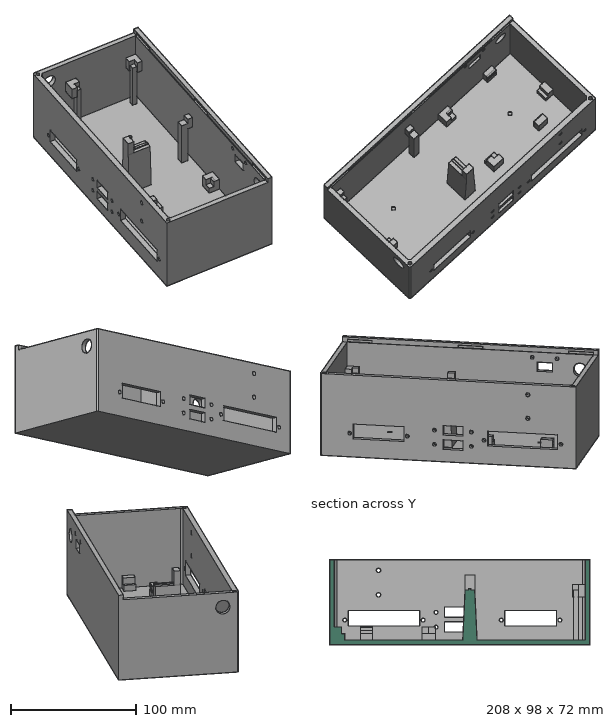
import cadquery as cq
length = 208.0
width = 98.0
rim_height = 68.0
lip_height = 4.0
lip_thickness = 4.0

side_wall = 4.0
front_wall = 4.5
back_wall = 4.5
floor = 4.0
inner_back = width - back_wall
inner_right = length - side_wall
inner_corner_chamfer = 1.9
outer_corner_chamfer = 1.0

latch_length = 20.0
latch_height = 2.0
latch_depth = 1.0
latch_end_gap = 4.0

lid_screw_diameter = 3.0
lid_screw_inset = 3.0
lid_screw_depth = 10.5
panel_screw_diameter = 3.0
indicator_diameter = 3.3
floor_hole_diameter = 3.3
floor_hole_depth = 2.0
side_hole_diameter = 11.5
back_hole_diameter = 11.0

wide_connectors = ((47.5, 41.2, 46.8), (164.5, 56.8, 62.6))
wide_bottom = 15.2
wide_height = 12.3
wide_screw_z = 19.8

small_x = 108.0
small_bottoms = (10.5, 22.3)
small_length = 16.2
small_height = 8.0
small_screw_pitch = 30.0
small_screw_rise = 3.7

indicator_x = 169.0
indicator_heights = (40.0, 59.5)

rear_x = 164.5
rear_bottom = 52.2
rear_top = 59.7
rear_length = 12.7
rear_screw_pitch = 20.2
rear_screw_z = 63.5
back_hole_x = 193.5
back_hole_z = 55.1

side_hole_y = 13.0
side_hole_z = 56.0
floor_hole_centers = ((44.3, 63.9), (167.9, 56.8))

raised_left = 9.2
raised_front = 33.0
raised_back = 89.0
raised_seat = 43.9
bracket_bottom = 38.0
bracket_top = 48.3
bracket_reach = 4.8
column_side = 4.0
middle_column_x = 86.5
middle_column_side = 5.6

pedestal_center = 95.9
pedestal_foot_width = 11.6
pedestal_top_width = 8.0
pedestal_front = 29.0
pedestal_back = 49.3
stop_depth = 5.2
stop_top = 56.0
rib_offset = 0.2
rib_width = 1.9
rib_height = 1.0

low_left = 129.0
low_front = 35.2
low_back = 88.2
low_seat = 9.0
holder_top = 14.4
seat_side = 10.6
seat_left = 123.5
seat_front_y = 30.0
seat_arm_end = 38.3
seat_back_y = 83.8
guide_width = 1.5
guide_drop = 0.5
clip_width = 9.8
clip_left = 173.7
clip_slot_height = 2.5
clip_slot_depth = 1.0
clip_front_y = 29.7
clip_back_y = 35.8
clip_lead_in = 0.6
end_front = 44.3
end_ledge_left = 195.7
end_stop_left = 198.5


def box(x0, x1, y0, y1, z0, z1):
    """Box given by its limits along each axis."""
    return cq.Workplane("XY").box(x1 - x0, y1 - y0, z1 - z0, centered=False).translate((x0, y0, z0))


def hole_y(x, z, diameter, y0, depth):
    """Cylinder running along +Y from y0."""
    return cq.Workplane(cq.Solid.makeCylinder(diameter / 2, depth, cq.Vector(x, y0, z), cq.Vector(0, 1, 0)))


def hole_z(x, y, diameter, top, depth):
    """Cylinder running down from top."""
    return cq.Workplane(cq.Solid.makeCylinder(diameter / 2, depth, cq.Vector(x, y, top), cq.Vector(0, 0, -1)))


def make_shell():
    """Open box with a lip along the back, latch recesses and lid screw holes."""
    body = box(0, length, 0, width, 0, rim_height)
    body = body.edges("|Z and <X and <Y").chamfer(outer_corner_chamfer)
    cavity = box(side_wall, inner_right, front_wall, inner_back, floor, rim_height)
    cavity = cavity.edges("|Z and <Y").chamfer(inner_corner_chamfer)
    lip_front = width - lip_thickness
    lip = box(0, length, lip_front, width, rim_height, rim_height + lip_height)
    shell = body.cut(cavity).union(lip)
    last_latch = length - latch_end_gap - latch_length
    for x in (latch_end_gap, (latch_end_gap + last_latch) / 2, last_latch):
        latch_back = lip_front + latch_depth
        latch = box(x, x + latch_length, lip_front, latch_back, rim_height, rim_height + latch_height)
        shell = shell.cut(latch)
    for x in (lid_screw_inset, length - lid_screw_inset):
        shell = shell.cut(hole_z(x, lid_screw_inset, lid_screw_diameter, rim_height, lid_screw_depth))
    return shell


def panel_cutout(center_x, z0, z1, opening, screw_pitch, screw_z, y0, depth):
    """Rectangular connector opening with a screw hole on each side."""
    cutout = box(center_x - opening / 2, center_x + opening / 2, y0, y0 + depth, z0, z1)
    for side in (-1, 1):
        screw_x = center_x + side * screw_pitch / 2
        cutout = cutout.union(hole_y(screw_x, screw_z, panel_screw_diameter, y0, depth))
    return cutout


def cut_front_openings(shell):
    for center_x, opening, pitch in wide_connectors:
        cutout = panel_cutout(
            center_x, wide_bottom, wide_bottom + wide_height, opening, pitch, wide_screw_z, 0, front_wall
        )
        shell = shell.cut(cutout)
    for bottom in small_bottoms:
        screw_z = bottom + small_screw_rise
        cutout = panel_cutout(
            small_x, bottom, bottom + small_height, small_length, small_screw_pitch, screw_z, 0, front_wall
        )
        shell = shell.cut(cutout)
    for z in indicator_heights:
        shell = shell.cut(hole_y(indicator_x, z, indicator_diameter, 0, front_wall))
    return shell


def cut_other_openings(shell):
    back_cutout = panel_cutout(
        rear_x, rear_bottom, rear_top, rear_length, rear_screw_pitch, rear_screw_z, inner_back, back_wall
    )
    shell = shell.cut(back_cutout)
    shell = shell.cut(hole_y(back_hole_x, back_hole_z, back_hole_diameter, inner_back, back_wall))
    side_start = cq.Vector(0, side_hole_y, side_hole_z)
    side_hole = cq.Solid.makeCylinder(side_hole_diameter / 2, side_wall, side_start, cq.Vector(1, 0, 0))
    shell = shell.cut(cq.Workplane(side_hole))
    for x, y in floor_hole_centers:
        shell = shell.cut(hole_z(x, y, floor_hole_diameter, floor, floor_hole_depth))
    return shell


def corner_bracket(corner_y, inward):
    """L-shaped bracket on the left wall with a column under the board corner.

    inward is +1 when the board extends toward +Y from the corner, otherwise -1.
    """
    arm_right = raised_left + bracket_reach
    column_right = raised_left + column_side
    outer_y = inner_back if inward < 0 else corner_y - bracket_reach
    reach_low, reach_high = sorted((corner_y, corner_y + inward * bracket_reach))
    block_low, block_high = min(outer_y, reach_low), max(outer_y, reach_high)
    column_low, column_high = sorted((corner_y, corner_y + inward * column_side))
    bracket = box(side_wall, arm_right, block_low, block_high, bracket_bottom, bracket_top)
    notch = box(raised_left, arm_right, reach_low, reach_high, bracket_bottom, bracket_top)
    column = box(raised_left, column_right, column_low, column_high, floor, raised_seat)
    return bracket.cut(notch).union(column)


def middle_holder():
    """Stop block on the back wall with a column in front of it."""
    right = middle_column_x + middle_column_side
    column_front = raised_back - middle_column_side
    block = box(middle_column_x, right, raised_back, inner_back, bracket_bottom, bracket_top)
    column = box(middle_column_x, right, column_front, raised_back, floor, raised_seat)
    return block.union(column)


def raised_board_holders():
    back = corner_bracket(raised_back, -1)
    front = corner_bracket(raised_front, 1)
    return back.union(front).union(middle_holder())


def pedestal():
    """Tapered block with a stop at its front and a rib along its top."""
    foot = pedestal_foot_width / 2
    top = pedestal_top_width / 2
    profile = [(-foot, floor), (foot, floor), (top, raised_seat), (-top, raised_seat)]
    body = cq.Workplane("XZ").polyline(profile).close().extrude(pedestal_front - pedestal_back)
    body = body.translate((pedestal_center, pedestal_front, 0))
    stop_back = pedestal_front + stop_depth
    left = pedestal_center - top
    stop = box(left, left + pedestal_top_width, pedestal_front, stop_back, raised_seat, stop_top)
    rib_left = pedestal_center + rib_offset - rib_width / 2
    rib = box(rib_left, rib_left + rib_width, stop_back, pedestal_back, raised_seat, raised_seat + rib_height)
    return body.union(stop).union(rib)


def low_board_seats():
    """Two corner seats on the left end of the low board."""
    seat_right = seat_left + seat_side
    back = box(seat_left, seat_right, seat_back_y, inner_back, floor, holder_top)
    notch = box(low_left, seat_right, seat_back_y, low_back, low_seat, holder_top)
    guide_profile = [
        (low_back, holder_top),
        (low_back + guide_width, holder_top),
        (low_back, holder_top - guide_drop),
    ]
    guide = cq.Workplane("YZ").polyline(guide_profile).close().extrude(seat_right - low_left)
    back = back.cut(notch).cut(guide.translate((low_left, 0, 0)))
    front = box(seat_left, seat_right, seat_front_y, seat_front_y + seat_side, floor, low_seat)
    left_arm = box(seat_left, low_left, seat_front_y, seat_arm_end, low_seat, holder_top)
    front_arm = box(low_left, seat_right, seat_front_y, low_front, low_seat, holder_top)
    return back.union(front).union(left_arm).union(front_arm)


def low_board_clips():
    """Snap clips on the long edges of the low board and a stepped stop at its right end."""
    clip_right = clip_left + clip_width
    slot_top = low_seat + clip_slot_height
    back = box(clip_left, clip_right, low_back, inner_back, floor, holder_top)
    back = back.edges("|X and >Z and <Y").chamfer(guide_drop, guide_width)
    back = back.cut(box(clip_left, clip_right, low_back, low_back + clip_slot_depth, low_seat, slot_top))
    front = box(clip_left, clip_right, clip_front_y, clip_back_y, floor, holder_top)
    front = front.edges("|X and >Z and >Y").chamfer(clip_lead_in)
    front = front.cut(box(clip_left, clip_right, clip_back_y - clip_slot_depth, clip_back_y, low_seat, slot_top))
    end_back = end_front + clip_width
    ledge = box(end_ledge_left, inner_right, end_front, end_back, floor, low_seat)
    stop = box(end_stop_left, inner_right, end_front, end_back, low_seat, holder_top)
    return back.union(front).union(ledge).union(stop)


result = cut_other_openings(cut_front_openings(make_shell()))
result = result.union(raised_board_holders()).union(pedestal())
result = result.union(low_board_seats()).union(low_board_clips())